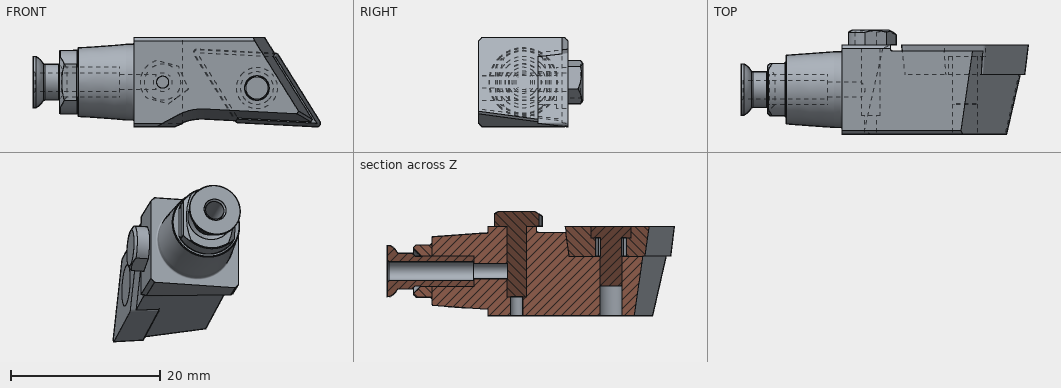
import cadquery as cq
import math


total_length = 38.5
stud_reach = 13.5
tip_reach = total_length - stud_reach
body_width = 12.0
half_width = body_width / 2
body_chamfer = 0.5

tip_angle = 55.0
relief_angle = 7.0
bottom_edge_angle = 3.0
front_edge_angle = tip_angle + bottom_edge_angle
insert_inscribed_diameter = 9.6
insert_thickness = 4.0
insert_edge = insert_inscribed_diameter / math.sin(math.radians(tip_angle))
nose_radius = 0.5
insert_hole_diameter = 4.4

screw_head_diameter = 5.5
screw_head_height = 1.55
screw_diameter = 3.3
screw_tip_chamfer = 0.15
screw_tip_depth = 4.0

front_overhang = 0.25
bottom_overhang = 0.15
tip_chamfer = 0.42
clearance_start = 5.6
clearance_slope = 28.0
clearance_radius = 6.75
ledge_start = 6.5
ledge_depth = 0.8
ledge_fillet = 0.27

shank_end = -7.5
shank_end_radius = 4.62
shank_chamfer = 0.1
taper_end = -1.05
shank_radius = 5.1
shoulder_fillet = 0.2

collar_end = -9.97
collar_radius = 4.27
collar_chamfer = 0.1
flat_width = 7.0
flat_runout = 0.2
relief_offset = 5.6
relief_radius = 8.78
collar_countersink_diameter = 6.0

flange_diameter = 6.9
flange_thickness = 0.4
flange_back_length = 1.0
flange_back_bulge = 0.1
neck_bevel_length = 0.2
neck_bevel_height = 0.08
neck_diameter = 4.8
neck_end = -10.13
stud_shaft_diameter = 4.0
stud_inner_end = -1.92
stud_bore_diameter = 2.5
stud_bore_mouth_diameter = 3.0
coolant_bore_diameter = 2.0

nozzle_x = 3.85
nozzle_height = 2.0
nozzle_radius = 3.0
nozzle_flat_distance = nozzle_radius * math.cos(math.radians(30))
nozzle_tip_reach = 3.58
nozzle_direction = -15.0
nozzle_top_radius = 2.43
nozzle_bevel_angle = 30.0
nozzle_stem_diameter = 2.5
nozzle_stem_end = -3.45
nozzle_vent_diameter = 1.6


def polar(length, angle, start=(0, 0)):
    """Point at a length and an angle in degrees from the start point."""
    turn = math.radians(angle)
    return (start[0] + length * math.cos(turn), start[1] + length * math.sin(turn))


def face_plane(y):
    """Plane parallel to XZ at the given Y, facing -Y."""
    return cq.Workplane("XZ", origin=(0, y, 0))


def cylinder_y(x, z, diameter, y_from, y_to):
    """Cylinder along Y between two Y positions."""
    return face_plane(max(y_from, y_to)).center(x, z).circle(diameter / 2).extrude(abs(y_to - y_from))


def turned(points):
    """Solid of revolution around the shank axis from (X, radius) points."""
    return cq.Workplane("XY").polyline(points).close().revolve(360, (0, 0, 0), (1, 0, 0))


half_tip = math.radians(tip_angle / 2)
inward_angle = 180 - bottom_edge_angle - tip_angle / 2
nose_setback = nose_radius / math.sin(half_tip)
nose_offset = polar(nose_setback, inward_angle)
tip_point = (tip_reach - nose_radius - nose_offset[0], -half_width + nose_radius - nose_offset[1])
insert_center = polar(insert_edge * math.cos(half_tip), inward_angle, tip_point)


def insert_blank():
    """Rhombic block with rounded corners, narrower towards its seat."""
    nose_center = polar(nose_setback, inward_angle, tip_point)
    side = insert_edge - 2 * nose_radius / math.sin(math.radians(tip_angle))
    upper_corner = polar(side, 180 - front_edge_angle, nose_center)
    lower_corner = polar(side, 180 - bottom_edge_angle, nose_center)
    far_corner = polar(side, 180 - front_edge_angle, lower_corner)
    return (
        face_plane(half_width)
        .polyline([nose_center, upper_corner, far_corner, lower_corner])
        .close()
        .offset2D(nose_radius)
        .extrude(insert_thickness, taper=relief_angle)
    )


def make_insert():
    """Insert with a counterbored screw hole."""
    x, z = insert_center
    seat_y = half_width - insert_thickness
    head_seat_y = half_width - screw_head_height
    hole = cylinder_y(x, z, insert_hole_diameter, seat_y, half_width)
    counterbore = cylinder_y(x, z, screw_head_diameter, head_seat_y, half_width)
    return insert_blank().cut(hole).cut(counterbore)


def make_insert_screw():
    """Screw flush with the insert, ending inside the body."""
    x, z = insert_center
    head = cylinder_y(x, z, screw_head_diameter, half_width - screw_head_height, half_width)
    tip_y = screw_tip_depth - half_width
    shaft = cylinder_y(x, z, screw_diameter, tip_y, half_width)
    return head.union(shaft.faces("<Y").chamfer(screw_tip_chamfer))


def flank_prism(outline, flank_angle):
    """Prism from an outline in the +Y face, drawn in by the relief angle towards the -Y face.

    The flank angle is the direction of the outward normal of the relieved flank.
    """
    inset = body_width * math.tan(math.radians(relief_angle))
    shift_x, shift_z = polar(-inset, flank_angle)
    drift = cq.Vector(shift_x, -body_width, shift_z)
    return cq.Workplane(cq.Solid.extrudeLinear(outline.val(), [], drift))


def relieved_flanks():
    """Prism with the relieved front and bottom flanks, larger than the body on its other sides."""
    front_step = front_overhang / math.sin(math.radians(tip_angle))
    bottom_step = bottom_overhang / math.sin(math.radians(tip_angle))
    corner = polar(front_step, 180 - bottom_edge_angle, tip_point)
    corner = polar(bottom_step, 180 - front_edge_angle, corner)

    slope = math.tan(math.radians(clearance_slope))
    fall = math.tan(math.radians(bottom_edge_angle))
    bend_x = (corner[1] + fall * corner[0] + half_width + slope * clearance_start) / (slope + fall)
    bend = (bend_x, corner[1] + fall * (corner[0] - bend_x))

    half_turn = (clearance_slope + bottom_edge_angle) / 2
    tangent = clearance_radius * math.tan(math.radians(half_turn))
    arc_start = polar(-tangent, clearance_slope, bend)
    arc_end = polar(tangent, -bottom_edge_angle, bend)
    arc_gap = clearance_radius * (1 / math.cos(math.radians(half_turn)) - 1)
    arc_middle = polar(-arc_gap, 90 + clearance_slope - half_turn, bend)

    margin = total_length
    slope_foot = polar(-margin, clearance_slope, bend)
    front_foot = polar(-margin, 180 - front_edge_angle, corner)
    front_top = polar(margin, 180 - front_edge_angle, corner)
    bottom_end = polar(margin, -bottom_edge_angle, corner)
    bottom_outline = (
        face_plane(half_width)
        .moveTo(*slope_foot)
        .lineTo(*arc_start)
        .threePointArc(arc_middle, arc_end)
        .lineTo(*bottom_end)
        .lineTo(bottom_end[0], margin)
        .lineTo(slope_foot[0], margin)
        .close()
    )
    front_outline = (
        face_plane(half_width)
        .polyline([front_foot, front_top, (-margin, front_top[1]), (-margin, front_foot[1])])
        .close()
    )
    bottom_prism = flank_prism(bottom_outline, -90 - bottom_edge_angle)
    front_prism = flank_prism(front_outline, 90 - front_edge_angle)
    tip_edge = cq.selectors.NearestToPointSelector((corner[0], 0, corner[1]))
    return bottom_prism.intersect(front_prism).edges(tip_edge).chamfer(tip_chamfer)


def ledge_cutter():
    """Lowers the +Y face around the insert, with a rounded inner corner."""
    block = cq.Workplane("XY").box(total_length, 2 * ledge_depth, 2 * body_width)
    block = block.edges("<X and <Y").fillet(ledge_fillet)
    return block.translate((ledge_start + total_length / 2, half_width, 0))


def shank():
    """Tapered shank with a chamfered end and a fillet at the shoulder."""
    fillet_start = -shoulder_fillet
    fillet_top = shank_radius + shoulder_fillet
    fillet_middle = polar(shoulder_fillet, -45, (fillet_start, fillet_top))
    profile = (
        cq.Workplane("XY")
        .moveTo(shank_end, 0)
        .lineTo(shank_end, shank_end_radius - shank_chamfer)
        .lineTo(shank_end + shank_chamfer, shank_end_radius)
        .lineTo(taper_end, shank_radius)
        .lineTo(fillet_start, shank_radius)
        .threePointArc(fillet_middle, (0, fillet_top))
        .lineTo(0, 0)
        .close()
    )
    return profile.revolve(360, (0, 0, 0), (1, 0, 0))


def make_housing():
    """Square body with its shank, insert pocket and holes."""
    bar = cq.Workplane("XY").box(total_length, body_width, body_width)
    bar = bar.edges("|X").chamfer(body_chamfer).translate((total_length / 2, 0, 0))
    body = bar.intersect(relieved_flanks()).cut(ledge_cutter()).cut(insert_blank())

    x, z = insert_center
    screw_hole = cylinder_y(x, z, screw_diameter, -half_width, half_width)
    vent_hole = cylinder_y(nozzle_x, 0, nozzle_vent_diameter, -half_width, half_width)
    stem_hole = cylinder_y(nozzle_x, 0, nozzle_stem_diameter, nozzle_stem_end, half_width)
    stud_hole = cq.Workplane("YZ", origin=(shank_end, 0, 0)).circle(stud_shaft_diameter / 2)
    stud_hole = stud_hole.extrude(stud_inner_end - shank_end)
    coolant_bore = cq.Workplane("YZ", origin=(stud_inner_end, 0, 0)).circle(coolant_bore_diameter / 2)
    coolant_bore = coolant_bore.extrude(nozzle_x - stud_inner_end)

    housing = body.union(shank())
    for hole in (screw_hole, vent_hole, stem_hole, stud_hole, coolant_bore):
        housing = housing.cut(hole)
    return housing


def flat_cutter():
    """Block on the -Y side that leaves one wrench flat, running out at 45 degrees."""
    flat_y = -flat_width / 2
    outer_y = -2 * collar_radius
    return (
        cq.Workplane("XY", origin=(0, 0, -collar_radius))
        .polyline([
            (collar_end, flat_y),
            (shank_end - flat_runout, flat_y),
            (shank_end, flat_y - flat_runout),
            (shank_end, outer_y),
            (collar_end, outer_y),
        ])
        .close()
        .extrude(2 * collar_radius)
    )


def relief_cone():
    """45 degree cone whose inside is kept, so that it bevels the outer end of the -Y flat."""
    length = shank_end - collar_end
    cone = cq.Solid.makeCone(
        relief_radius, relief_radius + length, length,
        pnt=cq.Vector(collar_end, relief_offset, 0), dir=cq.Vector(1, 0, 0),
    )
    return cq.Workplane(cone)


def make_collar():
    """Ring around the pull stud with two wrench flats and a 45 degree countersunk mouth."""
    mouth = collar_countersink_diameter / 2
    bore = stud_shaft_diameter / 2
    collar = turned([
        (collar_end, mouth),
        (collar_end, collar_radius - collar_chamfer),
        (collar_end + collar_chamfer, collar_radius),
        (shank_end - collar_chamfer, collar_radius),
        (shank_end, collar_radius - collar_chamfer),
        (shank_end, bore),
        (collar_end + mouth - bore, bore),
    ])
    axis_end = (1, 0, 0)
    for side in (0, 180):
        collar = collar.cut(flat_cutter().rotate((0, 0, 0), axis_end, side))
        collar = collar.intersect(relief_cone().rotate((0, 0, 0), axis_end, side))
    return collar


def make_pull_stud():
    """Hollow stud with a flange that curves down to its neck, and a neck chamfered down to the shaft."""
    outer_end = -stud_reach
    flange = flange_diameter / 2
    neck = neck_diameter / 2
    shaft = stud_shaft_diameter / 2
    bore = stud_bore_diameter / 2
    bore_mouth = stud_bore_mouth_diameter / 2
    back_start = outer_end + flange_thickness
    back_end = back_start + flange_back_length
    profile = (
        cq.Workplane("XY")
        .moveTo(outer_end, bore_mouth)
        .lineTo(outer_end, flange)
        .lineTo(back_start, flange)
        .sagittaArc((back_end, neck + neck_bevel_height), flange_back_bulge)
        .lineTo(back_end + neck_bevel_length, neck)
        .lineTo(neck_end, neck)
        .lineTo(neck_end + neck - shaft, shaft)
        .lineTo(stud_inner_end, shaft)
        .lineTo(stud_inner_end, bore)
        .lineTo(outer_end + bore_mouth - bore, bore)
        .close()
    )
    return profile.revolve(360, (0, 0, 0), (1, 0, 0))


def make_nozzle():
    """Bevelled head, round at the back and pointed towards the cutting tip, on a stem."""
    side_x = nozzle_radius / 2
    side_z = nozzle_flat_distance
    head = (
        face_plane(half_width + nozzle_height)
        .moveTo(-side_x, side_z)
        .lineTo(side_x, side_z)
        .lineTo(nozzle_tip_reach, 0)
        .lineTo(side_x, -side_z)
        .lineTo(-side_x, -side_z)
        .threePointArc((-nozzle_radius, 0), (-side_x, side_z))
        .close()
        .extrude(nozzle_height)
    )
    bevel_spread = nozzle_height / math.tan(math.radians(nozzle_bevel_angle))
    bevel_cone = cq.Solid.makeCone(
        nozzle_top_radius + bevel_spread, nozzle_top_radius, nozzle_height,
        pnt=cq.Vector(0, half_width, 0), dir=cq.Vector(0, 1, 0),
    )
    head = head.intersect(cq.Workplane(bevel_cone))
    head = head.rotate((0, 0, 0), (0, 1, 0), -nozzle_direction).translate((nozzle_x, 0, 0))
    stem = cylinder_y(nozzle_x, 0, nozzle_stem_diameter, nozzle_stem_end, half_width)
    return head.union(stem)


housing = make_housing()
insert = make_insert()
insert_screw = make_insert_screw()
collar = make_collar()
pull_stud = make_pull_stud()
nozzle = make_nozzle()

result = cq.Compound.makeCompound([
    housing.val(),
    insert.val(),
    insert_screw.val(),
    collar.val(),
    pull_stud.val(),
    nozzle.val(),
])